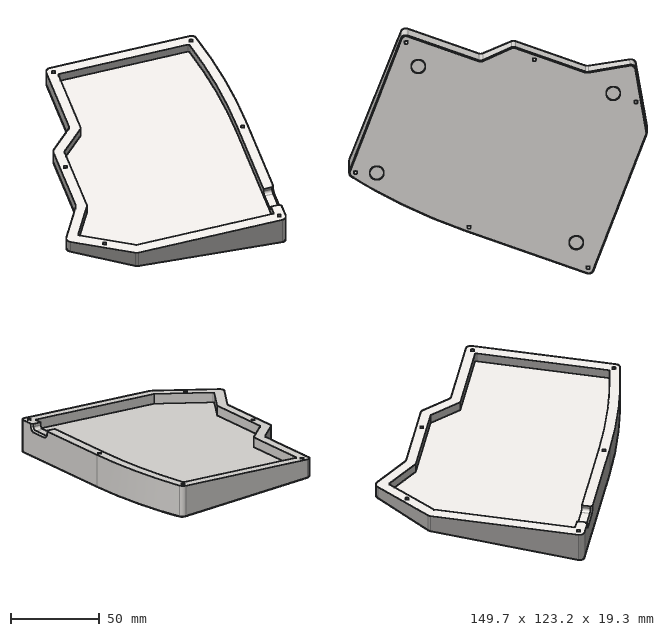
import cadquery as cq
import math

width = 149.7
length = 123.2
height = 19.3

corner_radius = 3.0
left_front_y = 27.0
middle_front_y = 12.7
step_x = 46.9
thumb_x = 105.1
thumb_angle = math.radians(30)
arc_end_x = 73.4
arc_radius = 321.9

rim_width = 6.0
pocket_depth = 5.8
pocket_corner_radius = 0.9
bottom_tilt = math.radians(5)
bottom_chamfer = 0.52

hole_diameter = 2.0
hole_centers = [(3.6, 112.0), (3.6, 31.0), (74.8, 120.2), (146.1, 119.6), (137.3, 19.6), (74.8, 15.9)]

notch_left = 124.1
notch_right = 138.2
notch_depth = 3.5
notch_corner_radius = 2.0
notch_chamfer = 1.0

foot_diameter = 8.0
foot_depth = 1.0
foot_inset = 15.0

tip_y = corner_radius * (1 - math.sin(thumb_angle) - math.cos(thumb_angle))
tip_x = thumb_x + (middle_front_y - tip_y) / math.tan(thumb_angle)
thumb_right_y = tip_y + (width - tip_x) / math.tan(thumb_angle)

back_z = -bottom_chamfer * math.tan(bottom_tilt)
front_z = back_z + length * math.tan(bottom_tilt)


def arc_y(x):
    """Y of the curved back edge at position x."""
    return length - arc_radius + math.sqrt(arc_radius**2 - (arc_end_x - x) ** 2)


def inside_tip(inset):
    """Point at the given distance from both sides of the thumb corner."""
    sine, cosine = math.sin(thumb_angle), math.cos(thumb_angle)
    return tip_x + inset * (sine - cosine), tip_y + inset * (sine + cosine)


def around(x, y, margin=1.5):
    """Selector for everything close to an upright line at (x, y)."""
    return cq.selectors.BoxSelector(
        (x - margin, y - margin, -height), (x + margin, y + margin, 2 * height)
    )


def outline():
    """Closed plan outline with sharp corners."""
    front_corners = [
        (0, left_front_y),
        (step_x, left_front_y),
        (step_x + left_front_y - middle_front_y, middle_front_y),
        (thumb_x, middle_front_y),
        (tip_x, tip_y),
        (width, thumb_right_y),
    ]
    arc_middle_x = arc_end_x / 2
    return (
        cq.Workplane("XY")
        .polyline(front_corners)
        .lineTo(width, length)
        .lineTo(arc_end_x, length)
        .threePointArc((arc_middle_x, arc_y(arc_middle_x)), (0, arc_y(0)))
        .close()
    )


def wedge_body():
    """Outer block with rounded corners and a tilted, chamfered bottom."""
    block = outline().extrude(2 * height).translate((0, 0, -height))
    smooth_joint = around(arc_end_x, length)
    block = block.edges("|Z").edges(cq.selectors.InverseSelector(smooth_joint)).fillet(corner_radius)
    below_bottom = (
        cq.Workplane("YZ")
        .polyline([(0, front_z), (length, back_z), (length, -height), (0, -height)])
        .close()
        .extrude(width)
    )
    return block.cut(below_bottom).faces("<Z").chamfer(bottom_chamfer)


def pocket():
    """Tray interior, open at the top, with its four square corners rounded."""
    inside = outline().offset2D(-rim_width, "intersection").extrude(pocket_depth)
    rounded_corners = [
        (rim_width, left_front_y + rim_width),
        (rim_width, arc_y(rim_width) - rim_width),
        (width - rim_width, length - rim_width),
        inside_tip(rim_width),
    ]
    for x, y in rounded_corners:
        inside = inside.edges("|Z").edges(around(x, y)).fillet(pocket_corner_radius)
    return inside.translate((0, 0, height - pocket_depth))


def screw_holes():
    """Upright pins for all rim holes, passing through the full height."""
    return cq.Workplane("XY").pushPoints(hole_centers).circle(hole_diameter / 2).extrude(height)


def cut_notch(body):
    """Cut the cable notch through the back rim and chamfer its outer edge."""
    notch_width = notch_right - notch_left
    notch = (
        cq.Workplane("XY")
        .box(notch_width, rim_width, 2 * notch_depth)
        .edges("|Y")
        .fillet(notch_corner_radius)
        .translate(((notch_left + notch_right) / 2, length - rim_width / 2, height))
    )
    margin = 0.1
    outer_edge = cq.selectors.BoxSelector(
        (notch_left - margin, length - margin, height - notch_depth - margin),
        (notch_right + margin, length + margin, height - margin),
    )
    return body.cut(notch).edges(outer_edge).chamfer(notch_chamfer)


def foot_recesses():
    """Discs square to the sloping bottom, sunk into it from below."""
    back_y = length - foot_inset
    centers = [
        (foot_inset, left_front_y + foot_inset),
        (foot_inset, back_y),
        (width - foot_inset, back_y),
        inside_tip(foot_inset),
    ]
    bottom = cq.Workplane(
        cq.Plane(
            origin=(0, 0, front_z),
            xDir=(1, 0, 0),
            normal=(0, math.sin(bottom_tilt), math.cos(bottom_tilt)),
        )
    )
    on_slope = [(x, y / math.cos(bottom_tilt)) for x, y in centers]
    return bottom.pushPoints(on_slope).circle(foot_diameter / 2).extrude(foot_depth)


body = wedge_body().cut(pocket())
body = cut_notch(body)
result = body.cut(screw_holes()).cut(foot_recesses())